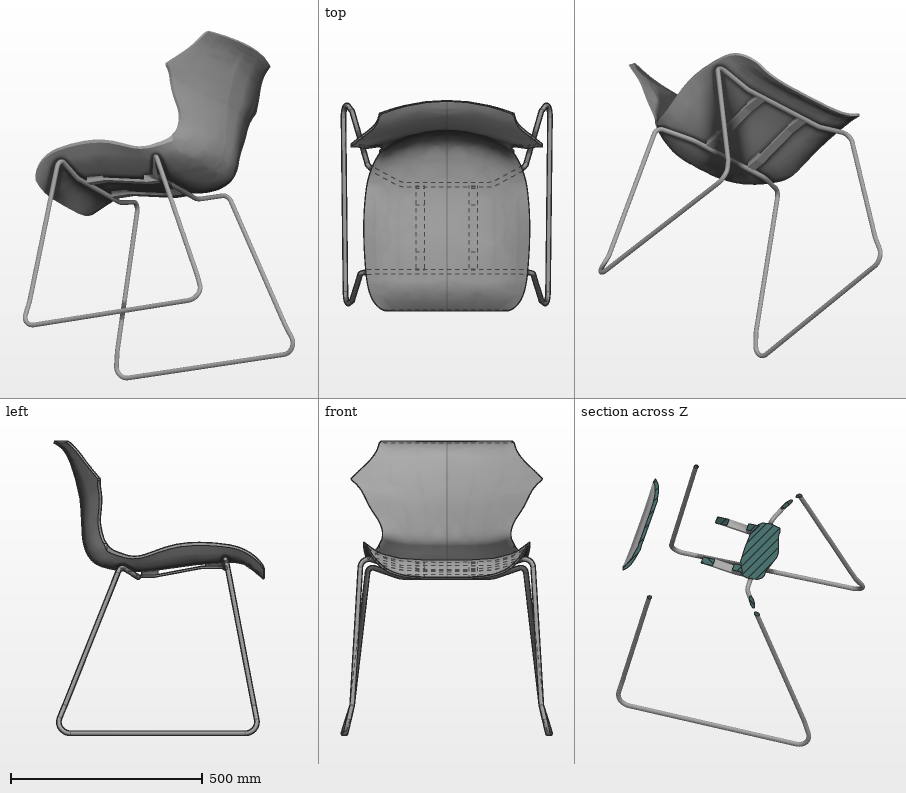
import cadquery as cq
import math

tube_diameter = 12.0
tube_radius = tube_diameter / 2
shell_thickness = 6.0

section_points = 17
section_overrun = 1.14
surface_tolerance = 0.1
surface_smoothing = (1, 1, 1)
surface_degree = 5
neck_height = 503.0
neck_half_width = 176.0
neck_y = 137.0
seat_trim_top = 540.0
front_y = -275.0
back_y = 308.0

shell_sections = [
    ((276.0, 765.0), (208.0, 768.0), 250.5, 2.0),
    ((249.0, 744.0), (189.0, 736.0), 250.5, 2.0),
    ((225.0, 691.0), (169.5, 691.0), 250.5, 2.0),
    ((218.0, 667.0), (159.5, 667.0), 250.5, 2.0),
    ((210.0, 630.5), (159.0, 630.5), 216.0, 2.0),
    ((204.0, 563.0), (161.0, 558.0), 176.0, 2.0),
    ((201.0, 517.0), (153.0, 523.0), 171.0, 2.2),
    ((191.0, 479.5), (135.0, 489.0), 183.0, 2.5),
    ((169.5, 452.0), (112.0, 472.0), 191.0, 2.8),
    ((134.0, 437.0), (91.0, 465.0), 199.0, 3.0),
    ((94.0, 430.0), (66.0, 462.5), 206.5, 3.2),
    ((6.0, 432.5), (4.0, 478.0), 214.0, 3.5),
    ((-113.0, 449.0), (-113.0, 499.0), 217.5, 4.0),
    ((-183.0, 453.0), (-183.0, 493.0), 213.0, 4.0),
    ((-220.5, 449.0), (-217.5, 482.5), 206.0, 4.0),
    ((-252.0, 426.0), (-249.0, 462.5), 193.0, 4.0),
    ((-272.0, 409.0), (-272.0, 443.0), 177.0, 4.0),
]

neck_corner = (neck_half_width, neck_height)
wing_lower_edge = [(171.0, 510.0), (168.0, 527.0), (176.0, 557.0), (200.0, 595.0), (225.0, 644.0), (247.5, 667.0)]
wing_tip = (250.5, 672.0)
wing_upper_edge = [(225.0, 697.0), (203.0, 718.5), (184.0, 744.0), (177.0, 763.0)]
back_top_corner = [(173.0, 769.0), (165.0, 771.0)]

seat_start = (neck_half_width, neck_y)
seat_edge = [
    (194.0, 104.0), (206.5, 66.0), (213.5, 21.0), (217.5, -62.0), (213.0, -160.0),
    (206.0, -213.0), (192.0, -249.0), (171.0, -270.0), (143.0, front_y),
]

sled_z = tube_radius
kink_z = 79.0
front_bar_y, front_bar_z = -172.0, 439.0
rear_bar_y, rear_bar_z = 55.5, 415.0
bar_half_length = 119.5
left_frame_corners = [
    ((0, front_bar_y, front_bar_z), 0),
    ((-bar_half_length, front_bar_y, front_bar_z), 46.0),
    ((-224.0, -173.0, 469.0), 23.0),
    ((-247.5, -247.5, kink_z), 15.5),
    ((-264.5, -261.0, sled_z), 31.0),
    ((-270.5, 277.5, sled_z), 31.0),
    ((-247.5, 247.5, kink_z), 15.5),
    ((-205.0, 102.0, 444.0), 19.0),
    ((-bar_half_length, rear_bar_y, rear_bar_z), 46.0),
    ((0, rear_bar_y, rear_bar_z), 0),
]

rail_x = 69.0
rail_width = 23.0
rail_thickness = 6.0
rail_rear_z = 417.0
rail_front_z = 440.0
rail_slope_rear_y = 13.0
rail_slope_front_y = -110.0
pad_width = 23.0
pad_height = 19.0
rear_pad_y = (3.0, 46.0)
front_pad_y = (-165.0, -120.0)


def section_row(centre, edge, half_width, power):
    """Points across one section, curling from the centre towards both edges."""
    row = []
    for i in range(section_points):
        across = section_overrun * (2 * i / (section_points - 1) - 1)
        curl = abs(across) ** power
        row.append(cq.Vector(
            across * half_width,
            centre[0] + curl * (edge[0] - centre[0]),
            centre[1] + curl * (edge[1] - centre[1]),
        ))
    return row


def back_half_prism():
    """Right half of the back's outline, running rearwards from the neck plane."""
    return (
        cq.Workplane("XZ", origin=(0, back_y, 0))
        .lineTo(neck_half_width, 0)
        .lineTo(*neck_corner)
        .spline(wing_lower_edge, includeCurrent=True)
        .lineTo(*wing_tip)
        .spline(wing_upper_edge, includeCurrent=True)
        .threePointArc(*back_top_corner)
        .lineTo(0, back_top_corner[-1][1])
        .close()
        .extrude(back_y - neck_y)
    )


def seat_half_prism():
    """Right half of the seat's outline, standing on the floor in front of the neck plane."""
    return (
        cq.Workplane("XY")
        .moveTo(0, neck_y)
        .lineTo(*seat_start)
        .spline(seat_edge, includeCurrent=True)
        .lineTo(0, front_y)
        .close()
        .extrude(seat_trim_top)
    )


def make_shell():
    sections = [section_row(*section) for section in shell_sections]
    outer_face = cq.Face.makeSplineApprox(
        sections, tol=surface_tolerance, smoothing=surface_smoothing, maxDeg=surface_degree
    )
    blank = cq.Workplane(outer_face.thicken(shell_thickness))
    right_half = blank.intersect(back_half_prism().union(seat_half_prism()))
    return right_half.union(right_half.mirror("YZ"), clean=False)


def bent_path(corners):
    """Open path through the corners, each inner corner rounded by its bend radius."""
    points = [cq.Vector(*place) for place, _ in corners]
    edges = []
    leg_start = points[0]
    for before, corner, after, bend in zip(points, points[1:], points[2:], corners[1:-1]):
        to_before = (before - corner).normalized()
        to_after = (after - corner).normalized()
        half_angle = to_before.getAngle(to_after) / 2
        bend_radius = bend[1]
        setback = bend_radius / math.tan(half_angle)
        inward = (to_before + to_after).normalized()
        arc_middle = corner + inward * (bend_radius / math.sin(half_angle) - bend_radius)
        arc_start = corner + to_before * setback
        arc_end = corner + to_after * setback
        edges.append(cq.Edge.makeLine(leg_start, arc_start))
        edges.append(cq.Edge.makeThreePointArc(arc_start, arc_middle, arc_end))
        leg_start = arc_end
    edges.append(cq.Edge.makeLine(leg_start, points[-1]))
    return cq.Wire.assembleEdges(edges)


def make_frame():
    """One closed loop of tube: two sleds joined by a front and a rear crossbar."""
    path = bent_path(left_frame_corners)
    left_half = (
        cq.Workplane("YZ", origin=left_frame_corners[0][0])
        .circle(tube_radius)
        .sweep(cq.Workplane(path))
    )
    return left_half.union(left_half.mirror("YZ"))


def make_rail(side, frame):
    """Flat strip, bent so that both ends lie level against the crossbars."""
    half = rail_thickness / 2
    centreline = [
        (rear_bar_y, rail_rear_z),
        (rail_slope_rear_y, rail_rear_z),
        (rail_slope_front_y, rail_front_z),
        (front_bar_y, rail_front_z),
    ]
    top = [(y, z + half) for y, z in centreline]
    bottom = [(y, z - half) for y, z in reversed(centreline)]
    strip = (
        cq.Workplane("YZ", origin=(side * rail_x - rail_width / 2, 0, 0))
        .polyline(top + bottom)
        .close()
        .extrude(rail_width)
    )
    return strip.cut(frame)


def make_pad(side, y_range, rail_z, shell, frame, rail):
    """Block between a level rail end and the underside of the shell."""
    y_start, y_end = y_range
    block = (
        cq.Workplane("XY", origin=(side * rail_x, (y_start + y_end) / 2, rail_z + rail_thickness / 2))
        .rect(pad_width, y_end - y_start)
        .extrude(pad_height)
    )
    below_shell = block.cut(shell).cut(frame).cut(rail)
    return below_shell.solids("<Z")


shell = make_shell()
frame = make_frame()
sides = (-1, 1)
rails = [make_rail(side, frame) for side in sides]
pads = [
    make_pad(side, y_range, rail_z, shell, frame, rail)
    for side, rail in zip(sides, rails)
    for y_range, rail_z in ((rear_pad_y, rail_rear_z), (front_pad_y, rail_front_z))
]

result = cq.Compound.makeCompound(
    [shell.val(), frame.val()] + [rail.val() for rail in rails] + [pad.val() for pad in pads]
)